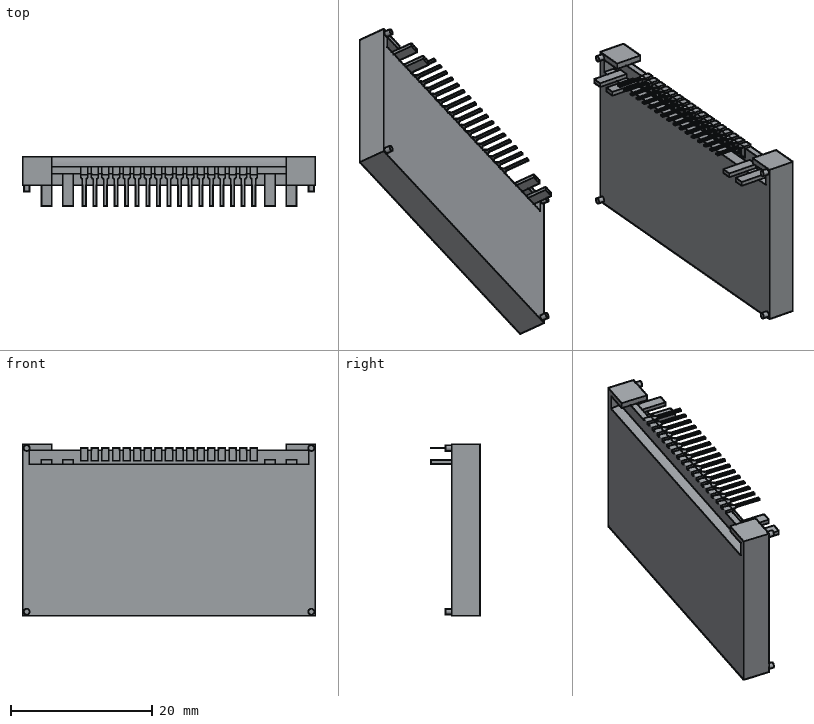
import cadquery as cq

width = 41.4
height = 24.3
depth = 4.05
side_margin = 0.95
top_margin = 0.85

block_width = 4.15

recess_bottom = height - 2.85
wall_front = 1.65
wall_back = 2.6

back_floor_drop = 0.2

post_diameter = 0.83
post_inset = 0.6
post_length = 0.85

terminal_reach = 2.95
tab_width = 1.5
tab_thickness = 0.62
tab_bottom = recess_bottom
tab_centers = (3.4, 6.4)

contact_count = 17
contact_row_length = 23.95
contact_pitch = contact_row_length / (contact_count - 1)
contact_width = 1.0
contact_pin_width = 0.5
contact_top = height - 0.5
contact_thickness = 0.12
contact_bottom = height - 2.35
contact_neck = 1.1
contact_bend_radius = 0.12
contact_leg_standoff = 0.15


def box(x_range, y_range, z_range):
    """Box spanning the given (low, high) ranges."""
    (x0, x1), (y0, y1), (z0, z1) = x_range, y_range, z_range
    return cq.Workplane("XY").box(x1 - x0, y1 - y0, z1 - z0, centered=False).translate((x0, y0, z0))


def make_housing():
    """Plate with a notched top edge and a recess on each side of the wall."""
    inner_width = width - 2 * side_margin
    ceiling = height - top_margin
    body = box((0, width), (0, depth), (0, height))
    notch = box((block_width, width - block_width), (0, depth), (ceiling, height))
    front_recess = box((side_margin, width - side_margin), (0, wall_front), (recess_bottom, ceiling))
    back_floor_run = depth - wall_back
    back_floor_radius = (back_floor_run**2 + back_floor_drop**2) / (2 * back_floor_drop)
    back_recess = (
        cq.Workplane("YZ", origin=(side_margin, 0, 0))
        .moveTo(wall_back, ceiling)
        .lineTo(wall_back, recess_bottom)
        .radiusArc((depth, recess_bottom - back_floor_drop), back_floor_radius)
        .lineTo(depth, ceiling)
        .close()
        .extrude(inner_width)
    )
    return body.cut(notch).cut(front_recess).cut(back_recess)


def make_posts():
    """Round posts standing out of the front face at its corners."""
    corners = [
        (x, z)
        for x in (post_inset, width - post_inset)
        for z in (post_inset, height - post_inset)
    ]
    return (
        cq.Workplane("XZ")
        .pushPoints(corners)
        .circle(post_diameter / 2)
        .extrude(post_length)
    )


def make_tab(center_x):
    """Wide flat terminal lying on the recess floor."""
    return box(
        (center_x - tab_width / 2, center_x + tab_width / 2),
        (-terminal_reach, wall_front),
        (tab_bottom, tab_bottom + tab_thickness),
    )


def make_contact(center_x):
    """Narrow pin widening to a blade that hooks over the wall and runs down its front."""
    half_wide = contact_width / 2
    half_pin = contact_pin_width / 2
    pin_start = contact_neck - (half_wide - half_pin)
    blade_bottom = contact_top - contact_thickness
    blade = (
        cq.Workplane("XY", origin=(center_x, 0, blade_bottom))
        .moveTo(-half_pin, -terminal_reach)
        .lineTo(half_pin, -terminal_reach)
        .lineTo(half_pin, pin_start)
        .lineTo(half_wide, contact_neck)
        .lineTo(half_wide, wall_back)
        .lineTo(-half_wide, wall_back)
        .lineTo(-half_wide, contact_neck)
        .lineTo(-half_pin, pin_start)
        .close()
        .extrude(contact_thickness)
    )
    leg = box(
        (center_x - half_wide, center_x + half_wide),
        (wall_front - contact_leg_standoff, wall_back),
        (contact_bottom, blade_bottom),
    )
    return blade.union(leg).edges("|X and >Y and >Z").fillet(contact_bend_radius)


result = make_housing().union(make_posts())
for side_distance in tab_centers:
    for tab_x in (side_distance, width - side_distance):
        result = result.union(make_tab(tab_x))
for index in range(contact_count):
    contact_x = (width - contact_row_length) / 2 + index * contact_pitch
    result = result.union(make_contact(contact_x))